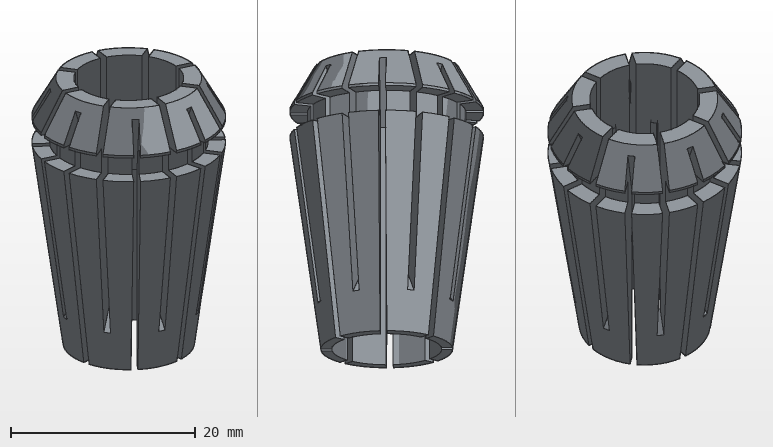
import cadquery as cq
import math

length = 31.5
max_radius = 10.5
bore_radius = 5.95

body_taper = 8.0
nose_taper = 30.0
rim_height = 0.3
head_bottom = 26.7
groove_width = 2.8
groove_radius = 8.6

shoulder = head_bottom - groove_width
rim_top = head_bottom + rim_height
bottom_radius = max_radius - shoulder * math.tan(math.radians(body_taper))
nose_radius = max_radius - (length - rim_top) * math.tan(math.radians(nose_taper))

slot_count = 8
slot_width = 0.75
floor_angle = 50.0
ceiling_angle = 70.0
top_slot_floor = 4.55
bottom_slot_ceiling = 30.4
slot_pitch = 360.0 / slot_count
clearance = 1.0


def collet_blank():
    """Revolved collet wall, with bore and closing groove."""
    half_section = [
        (bore_radius, 0),
        (bottom_radius, 0),
        (max_radius, shoulder),
        (groove_radius, shoulder),
        (groove_radius, head_bottom),
        (max_radius, head_bottom),
        (max_radius, rim_top),
        (nose_radius, length),
        (bore_radius, length),
    ]
    return cq.Workplane("XZ").polyline(half_section).close().revolve(360, (0, 0), (0, 1))


def slot_cutters(end_radius, end_height, end_slope, open_height, first_angle):
    """Ring of radial cutters from a sloped closed end to an open height.

    The closed end passes through (end_radius, end_height); end_slope is its rise per unit radius.
    """
    inner = bore_radius - clearance
    outer = max_radius + clearance
    profile = [
        (inner, end_height + (inner - end_radius) * end_slope),
        (outer, end_height + (outer - end_radius) * end_slope),
        (outer, open_height),
        (inner, open_height),
    ]
    cutter = cq.Workplane("XZ").polyline(profile).close().extrude(slot_width / 2, both=True)
    cutters = cq.Workplane("XY")
    for i in range(slot_count):
        angle = first_angle + i * slot_pitch
        cutters = cutters.add(cutter.rotate((0, 0, 0), (0, 0, 1), angle))
    return cutters.combine()


def top_slots():
    """Slots open at the top; their floors fall towards the outside."""
    end_radius = bottom_radius + top_slot_floor * math.tan(math.radians(body_taper))
    end_slope = -math.tan(math.radians(floor_angle))
    return slot_cutters(end_radius, top_slot_floor, end_slope, length + clearance, 0)


def bottom_slots():
    """Slots open at the bottom, midway between the top slots; their ceilings rise outwards."""
    end_radius = nose_radius + (length - bottom_slot_ceiling) * math.tan(math.radians(nose_taper))
    end_slope = math.tan(math.radians(ceiling_angle))
    return slot_cutters(end_radius, bottom_slot_ceiling, end_slope, -clearance, slot_pitch / 2)


result = collet_blank().cut(top_slots()).cut(bottom_slots())